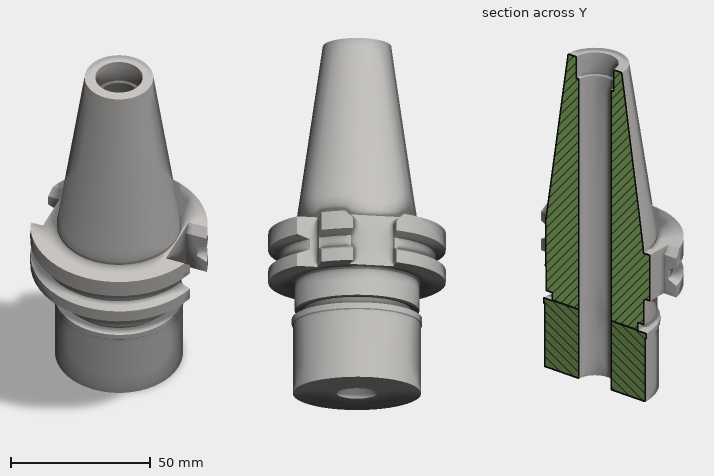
import cadquery as cq

TOTAL_HEIGHT = 128.4
NUT_HEIGHT = 27.5
NECK_BOTTOM = 30.5
FLANGE_BOTTOM = 41.0
GROOVE_BOTTOM = 47.3
GROOVE_TOP = 51.1
FLANGE_TOP = 59.3
GAUGE_HEIGHT = 60.3

BORE_RADIUS = 7.2
SOCKET_RADIUS = 8.5
SOCKET_DEPTH = 8.6

GAUGE_RADIUS = 22.2
TAPER_RATIO = 7 / 24
TOP_RADIUS = GAUGE_RADIUS - (TOTAL_HEIGHT - GAUGE_HEIGHT) * TAPER_RATIO / 2

FLANGE_DIAMETER = 63.5
FLANGE_RADIUS = FLANGE_DIAMETER / 2
GROOVE_RADIUS = 28.1
GROOVE_FLARE = 1.7

NECK_RADIUS = 22.3
NECK_CHAMFER = 0.6
RELIEF_RADIUS = 19.5

SLOT_WIDTH = 15.9
SLOT_CHAMFER = 2.8
LEFT_SLOT_FLOOR = 25.0
RIGHT_SLOT_FLOOR = 22.6

NOTCH_OFFSET = 18.5

NUT_RADIUS = 23.0
NUT_LIP_RADIUS = 23.4
NUT_LIP_HEIGHT = 2.0


def make_holder_blank():
    """Turned holder: relief, neck, grooved flange, taper and stepped bore."""
    socket_floor = TOTAL_HEIGHT - SOCKET_DEPTH
    profile = [
        (BORE_RADIUS, NUT_HEIGHT),
        (RELIEF_RADIUS, NUT_HEIGHT),
        (RELIEF_RADIUS, NECK_BOTTOM),
        (NECK_RADIUS, NECK_BOTTOM),
        (NECK_RADIUS, FLANGE_BOTTOM - NECK_CHAMFER),
        (NECK_RADIUS + NECK_CHAMFER, FLANGE_BOTTOM),
        (FLANGE_RADIUS, FLANGE_BOTTOM),
        (FLANGE_RADIUS, GROOVE_BOTTOM - GROOVE_FLARE),
        (GROOVE_RADIUS, GROOVE_BOTTOM),
        (GROOVE_RADIUS, GROOVE_TOP),
        (FLANGE_RADIUS, GROOVE_TOP + GROOVE_FLARE),
        (FLANGE_RADIUS, FLANGE_TOP),
        (GAUGE_RADIUS, FLANGE_TOP),
        (GAUGE_RADIUS, GAUGE_HEIGHT),
        (TOP_RADIUS, TOTAL_HEIGHT),
        (SOCKET_RADIUS, TOTAL_HEIGHT),
        (SOCKET_RADIUS, socket_floor),
        (BORE_RADIUS, socket_floor),
    ]
    return cq.Workplane("XZ").polyline(profile).close().revolve(360, (0, 0), (0, 1))


def make_slot_cutter(side, floor):
    """Drive slot running the full flange height, its mouth chamfered at the top."""
    half = SLOT_WIDTH / 2
    outline = [
        (-half, FLANGE_BOTTOM),
        (half, FLANGE_BOTTOM),
        (half, FLANGE_TOP - SLOT_CHAMFER),
        (half + SLOT_CHAMFER, FLANGE_TOP),
        (-half - SLOT_CHAMFER, FLANGE_TOP),
        (-half, FLANGE_TOP - SLOT_CHAMFER),
    ]
    return (
        cq.Workplane("YZ", origin=(side * floor, 0, 0))
        .polyline(outline)
        .close()
        .extrude(side * (FLANGE_RADIUS - floor))
    )


def make_notch_cutter():
    """Square notch through the flange height in the -X, +Y quadrant."""
    size = FLANGE_RADIUS - NOTCH_OFFSET
    height = FLANGE_TOP - FLANGE_BOTTOM
    notch = cq.Workplane("XY").box(size, size, height, centered=False)
    return notch.translate((-FLANGE_RADIUS, NOTCH_OFFSET, FLANGE_BOTTOM))


def make_holder():
    """Complete holder with both drive slots and the orientation notch."""
    holder = make_holder_blank()
    holder = holder.cut(make_slot_cutter(-1, LEFT_SLOT_FLOOR))
    holder = holder.cut(make_slot_cutter(1, RIGHT_SLOT_FLOOR))
    return holder.cut(make_notch_cutter())


def make_nut():
    """Clamping nut: plain sleeve with a thin lip around its upper end."""
    lip_bottom = NUT_HEIGHT - NUT_LIP_HEIGHT
    lip_overhang = NUT_LIP_RADIUS - NUT_RADIUS
    profile = [
        (BORE_RADIUS, 0),
        (NUT_RADIUS, 0),
        (NUT_RADIUS, lip_bottom - lip_overhang),
        (NUT_LIP_RADIUS, lip_bottom),
        (NUT_LIP_RADIUS, NUT_HEIGHT),
        (BORE_RADIUS, NUT_HEIGHT),
    ]
    return cq.Workplane("XZ").polyline(profile).close().revolve(360, (0, 0), (0, 1))


holder = make_holder()
nut = make_nut()
result = cq.Compound.makeCompound([holder.val(), nut.val()])